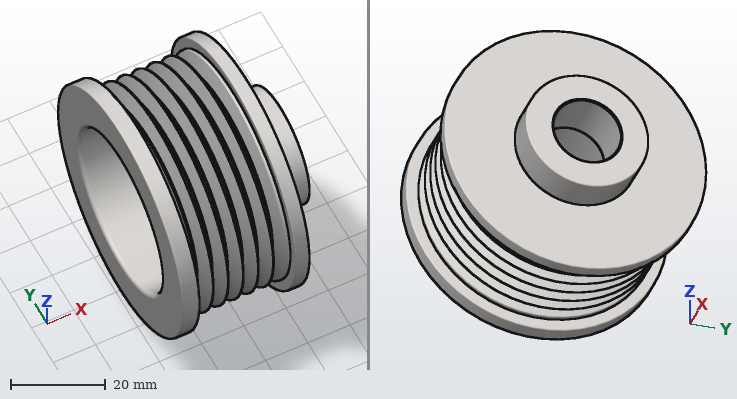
import cadquery as cq
import math

total_length = 38.0
front_flange_end = 4.0
rear_flange_start = 26.75
rear_flange_end = 30.05

flange_diameter = 58.0
rib_diameter = 52.7
hub_diameter = 27.1

groove_count = 6
first_groove_center = 6.6
last_groove_center = 24.4
groove_depth = 3.9
groove_half_angle = math.radians(20)
groove_floor_width = 0.35
rib_tip_radius = 0.3

bore_diameter = 37.8
bore_depth = 26.0
bore_mouth_radius = 1.0
shaft_hole_diameter = 15.0
shaft_hole_chamfer = 0.25

edge_radius = 0.35

rib_radius = rib_diameter / 2
groove_bottom_radius = rib_radius - groove_depth
groove_pitch = (last_groove_center - first_groove_center) / (groove_count - 1)


def cylinder(diameter, start, end):
    """Solid cylinder on the X axis between two axial positions."""
    return cq.Workplane("YZ").workplane(offset=start).circle(diameter / 2).extrude(end - start)


def flange(start, end):
    """Belt flange with both rims rounded."""
    return cylinder(flange_diameter, start, end).edges().fillet(edge_radius)


def ribbed_drum():
    """Drum between the flanges, with V grooves and rounded rib tips."""
    half_floor = groove_floor_width / 2
    half_mouth = half_floor + groove_depth * math.tan(groove_half_angle)

    half_turn = (math.pi / 2 - groove_half_angle) / 2
    tangent_length = rib_tip_radius * math.tan(half_turn)
    flank_x = half_mouth - tangent_length * math.sin(groove_half_angle)
    flank_r = rib_radius - tangent_length * math.cos(groove_half_angle)
    tip_x = half_mouth + tangent_length
    arc_x = tip_x - rib_tip_radius * math.sin(half_turn)
    arc_r = rib_radius - rib_tip_radius * (1 - math.cos(half_turn))

    profile = cq.Workplane("XY").moveTo(front_flange_end, 0).lineTo(front_flange_end, rib_radius)
    for index in range(groove_count):
        center = first_groove_center + index * groove_pitch
        profile = (
            profile.lineTo(center - tip_x, rib_radius)
            .threePointArc((center - arc_x, arc_r), (center - flank_x, flank_r))
            .lineTo(center - half_floor, groove_bottom_radius)
            .lineTo(center + half_floor, groove_bottom_radius)
            .lineTo(center + flank_x, flank_r)
            .threePointArc((center + arc_x, arc_r), (center + tip_x, rib_radius))
        )
    profile = profile.lineTo(rear_flange_start, rib_radius).lineTo(rear_flange_start, 0).close()
    return profile.revolve(360, (0, 0, 0), (1, 0, 0))


hub = cylinder(hub_diameter, rear_flange_start, total_length).faces(">X").edges().fillet(edge_radius)
body = (
    ribbed_drum()
    .union(flange(0, front_flange_end))
    .union(flange(rear_flange_start, rear_flange_end))
    .union(hub)
)

body = body.cut(cylinder(bore_diameter, 0, bore_depth))
body = body.faces("<X").edges(cq.selectors.RadiusNthSelector(0)).fillet(bore_mouth_radius)

shaft_hole = cylinder(shaft_hole_diameter, bore_depth, total_length)
result = body.cut(shaft_hole)
innermost = cq.selectors.RadiusNthSelector(0)
bore_floor = cq.selectors.NearestToPointSelector((bore_depth, 0, 0))
result = result.faces(bore_floor).edges(innermost).chamfer(shaft_hole_chamfer)
result = result.faces(">X").edges(innermost).chamfer(shaft_hole_chamfer)